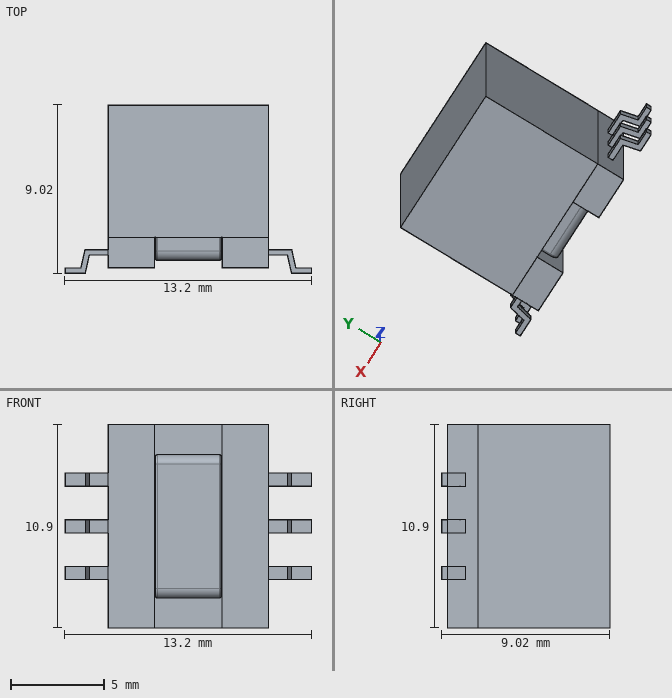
import cadquery as cq


core_width = 8.61
height = 10.92
core_front = 1.94
core_back = 9.02

winding_width = 3.52
winding_height = 7.68
winding_front = 0.70
winding_corner_radius = 0.5
winding_edge_radius = 0.1

rail_gap = 3.61
rail_front = 0.30
rail_width = (core_width - rail_gap) / 2
rail_depth = core_front - rail_front

lead_span = 13.21
lead_count = 3
lead_pitch = 2.5
lead_width = 0.72
lead_thickness = 0.30
lead_shoulder = 1.28
leg_width = 0.24
leg_lean = 0.22
foot_length = 1.08


def make_core():
    """Core block with the rounded winding face standing out of its front."""
    block = cq.Workplane("XY").box(core_width, core_back - core_front, height)
    block = block.translate((0, (core_front + core_back) / 2, 0))

    winding_depth = core_front - winding_front
    winding = cq.Workplane("XY").box(winding_width, winding_depth, winding_height)
    winding = winding.edges("|X and <Y").fillet(winding_corner_radius)
    winding = winding.faces("<X or >X").edges("not >Y").fillet(winding_edge_radius)
    winding = winding.translate((0, winding_front + winding_depth / 2, 0))
    return block.union(winding)


def make_lead(side):
    """One lead at mid height; side is +1 for the +X rail and -1 for the -X rail."""
    root = core_width / 2
    toe = lead_span / 2
    heel = toe - foot_length
    shoulder_end = heel - leg_lean
    profile = [
        (root, lead_shoulder),
        (shoulder_end + leg_width, lead_shoulder),
        (heel + leg_width, lead_thickness),
        (toe, lead_thickness),
        (toe, 0),
        (heel, 0),
        (shoulder_end, lead_shoulder - lead_thickness),
        (root, lead_shoulder - lead_thickness),
    ]
    points = [(side * x, y) for x, y in profile]
    return cq.Workplane("XY").polyline(points).close().extrude(lead_width / 2, both=True)


def make_rail(side):
    """Rail on the front of the core with its row of leads."""
    rail = cq.Workplane("XY").box(rail_width, rail_depth, height)
    rail = rail.translate((side * (rail_gap + rail_width) / 2, rail_front + rail_depth / 2, 0))
    for i in range(lead_count):
        z = (i - (lead_count - 1) / 2) * lead_pitch
        rail = rail.union(make_lead(side).translate((0, 0, z)))
    return rail


core = make_core()
rails = [make_rail(side) for side in (-1, 1)]

result = cq.Compound.makeCompound([core.val(), *[rail.val() for rail in rails]])